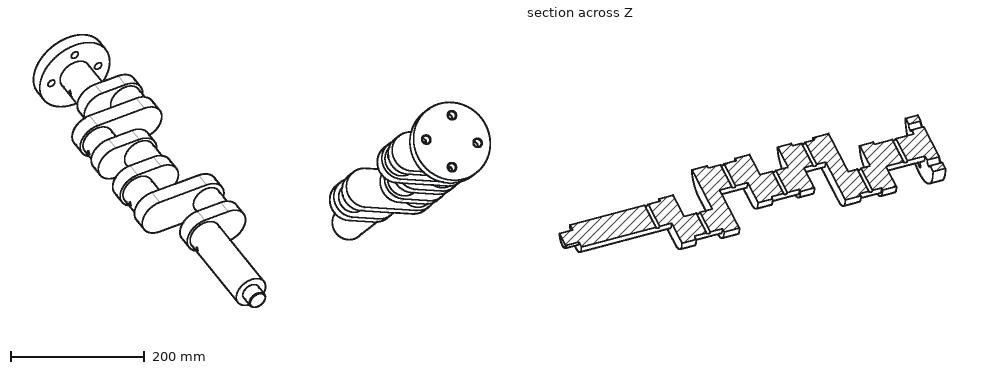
import cadquery as cq

LENGTH = 590.0
FLANGE_DIAMETER = 120.0
FLANGE_THICKNESS = 20.0

BOLT_CIRCLE_RADIUS = FLANGE_DIAMETER / 3
BOLT_HOLE_DIAMETER = 12.0
BOLT_HOLE_CHAMFER = 1.0
BOLT_CHAMFER_ANGLE = 90
BOLT_HOLE_COUNT = 4

THROW = FLANGE_DIAMETER / 3
WEB_WIDTH = FLANGE_DIAMETER / 2

MAIN_DIAMETER = 50.0
PIN_DIAMETER = MAIN_DIAMETER
REAR_PIN_DIAMETER = 45.0
STUB_DIAMETER = 28.0
STUB_LENGTH = 21.0
STUB_CHAMFER = 1.0

OIL_HOLE_DIAMETER = 5.5
OIL_HOLE_LENGTH = 2 * THROW + WEB_WIDTH

FRONT_JOURNAL_LENGTH = 62.0
OUTPUT_SHAFT_OIL_OFFSET = 22.0

STAGES = [
    (22.5, 34.0, PIN_DIAMETER, THROW),
    (25.5, 34.0, PIN_DIAMETER, -THROW),
    (22.5, 44.0, MAIN_DIAMETER, 0.0),
    (23.5, 44.0, PIN_DIAMETER, -THROW),
    (25.0, 44.0, REAR_PIN_DIAMETER, THROW),
]
LAST_WEB_THICKNESS = 23.0


def cylinder(x_start, length, diameter, y=0.0):
    """Solid cylinder along X, centred at height Z = 0."""
    return cq.Workplane("YZ", origin=(x_start, y, 0)).circle(diameter / 2).extrude(length)


def web(x_start, thickness, y_from, y_to):
    """Round-ended plate joining two neighbouring shaft sections."""
    return (
        cq.Workplane("YZ", origin=(x_start, (y_from + y_to) / 2, 0))
        .slot2D(abs(y_to - y_from) + WEB_WIDTH, WEB_WIDTH)
        .extrude(thickness)
    )


def oil_hole(x):
    """Cross hole along Y, long enough to pass through any shaft section."""
    return (
        cq.Workplane("XZ", origin=(x, 0, 0))
        .circle(OIL_HOLE_DIAMETER / 2)
        .extrude(OIL_HOLE_LENGTH / 2, both=True)
    )


flange = (
    cylinder(0, FLANGE_THICKNESS, FLANGE_DIAMETER)
    .faces("<X")
    .workplane(origin=(0, 0, 0))
    .polarArray(BOLT_CIRCLE_RADIUS, 0, 360, BOLT_HOLE_COUNT)
    .cskHole(BOLT_HOLE_DIAMETER, BOLT_HOLE_DIAMETER + 2 * BOLT_HOLE_CHAMFER, BOLT_CHAMFER_ANGLE)
)

crank = flange.union(cylinder(FLANGE_THICKNESS, FRONT_JOURNAL_LENGTH, MAIN_DIAMETER))
oil_positions = [FLANGE_THICKNESS + FRONT_JOURNAL_LENGTH / 2]

x = FLANGE_THICKNESS + FRONT_JOURNAL_LENGTH
y = 0.0
for web_thickness, journal_length, journal_diameter, journal_y in STAGES:
    crank = crank.union(web(x, web_thickness, y, journal_y))
    x += web_thickness
    y = journal_y
    crank = crank.union(cylinder(x, journal_length, journal_diameter, y))
    oil_positions.append(x + journal_length / 2)
    x += journal_length

crank = crank.union(web(x, LAST_WEB_THICKNESS, y, 0.0))
x += LAST_WEB_THICKNESS
oil_positions.append(x + OUTPUT_SHAFT_OIL_OFFSET)

stub_start = LENGTH - STUB_LENGTH
crank = crank.union(cylinder(x, stub_start - x, MAIN_DIAMETER))
stub = cylinder(stub_start, STUB_LENGTH, STUB_DIAMETER).faces(">X").chamfer(STUB_CHAMFER)
crank = crank.union(stub)

for oil_x in oil_positions:
    crank = crank.cut(oil_hole(oil_x))

result = crank